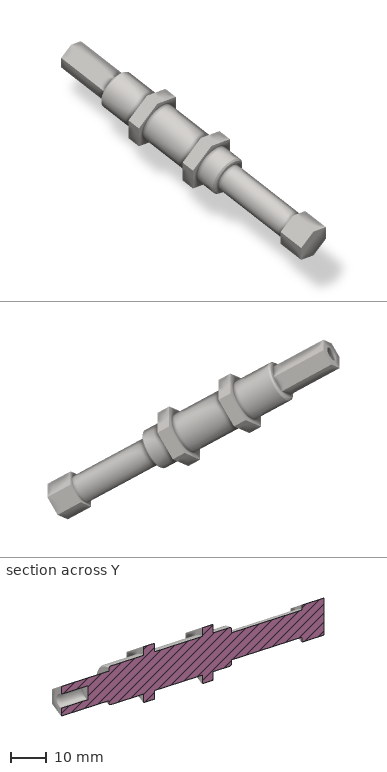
import cadquery as cq
import math

total_length = 94.0

hexagon_sides = 6
flats_per_corners = math.cos(math.pi / hexagon_sides)

stem_flats = 8.0
stem_length = 17.0
bore_diameter = 4.1
bore_depth = 9.4

body_diameter = 12.0
body_length = 44.0
body_chamfer = 0.5

nut_corners = 17.3
nut_flats = nut_corners * flats_per_corners
nut_thickness = 4.0
nut_starts = (29.4, 50.4)

rod_diameter = 8.5

head_flats = 10.0
head_length = 8.0

body_end = stem_length + body_length
head_start = total_length - head_length


def hexagon(start, length, flats):
    """Hexagonal bar along X with corners pointing up and down."""
    corner_diameter = flats / flats_per_corners
    plane = cq.Plane(origin=(start, 0, 0), xDir=(0, 0, 1), normal=(1, 0, 0))
    return cq.Workplane(plane).polygon(hexagon_sides, corner_diameter).extrude(length)


def cylinder(start, length, diameter):
    """Round bar along X."""
    return cq.Workplane("YZ", origin=(start, 0, 0)).circle(diameter / 2).extrude(length)


body = cylinder(stem_length, body_length, body_diameter).edges("%CIRCLE").chamfer(body_chamfer)

stem = hexagon(0, stem_length, stem_flats)
rod = cylinder(body_end, head_start - body_end, rod_diameter)
head = hexagon(head_start, head_length, head_flats)
result = body.union(stem).union(rod).union(head)

for nut_start in nut_starts:
    result = result.union(hexagon(nut_start, nut_thickness, nut_flats))

result = result.cut(cylinder(0, bore_depth, bore_diameter))